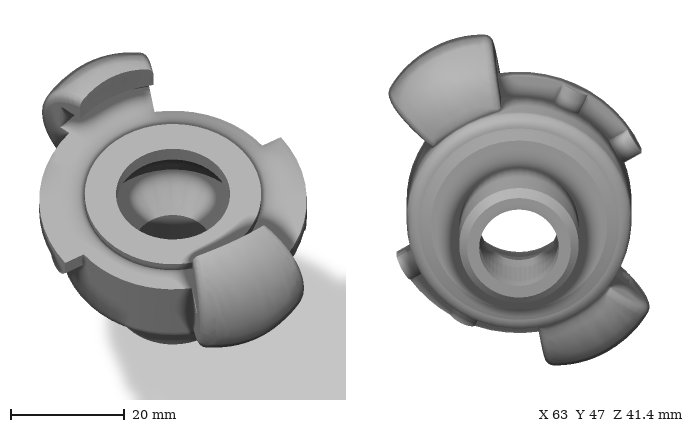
import cadquery as cq
import math

stem_diameter = 21.0
stem_chamfer_width = 1.4
stem_chamfer_height = 1.5
body_diameter = 39.5
body_bottom = 14.0
body_top = 29.55
body_edge_radius = 2.4
seam_angle = -50
pad_diameter = 31.0
pad_base_diameter = 35.0
pad_height = 0.7
seal_diameter = 31.0
seal_top = 31.25

through_diameter = 14.0
mouth_diameter = 20.0
chamber_diameter = 28.5
mouth_bottom = 28.15
chamber_bottom = 19.7
chamber_bulge = 0.5
cone_bottom = 16.05

lug_diameter = 47.0
lug_root_radius = 18.25
lug_bottom = 26.6
lug_edge_x = 2.5
bump_radius = lug_edge_x
bump_center_z = body_top - 2.15
bump_angles = (0, 35)

overall_length = 63.0
claw_half_angle = 20.7
claw_radius = 11.95
claw_barrel_radius = 18.9
claw_edge_radius = 1.5
claw_center_x = overall_length / 2 - claw_radius
slot_radius = 25.45
slot_top = 35.65
tip_inner_radius = 21.05
claw_root_radius = 17.65
claw_reach = overall_length


def disc(radius, bottom, top):
    return cq.Workplane("XY").workplane(offset=bottom).circle(radius).extrude(top - bottom)


def polar(radius, angle):
    return (radius * math.cos(math.radians(angle)), radius * math.sin(math.radians(angle)))


def half_turn_pair(shape):
    return shape.union(shape.rotate((0, 0, 0), (0, 0, 1), 180))


def make_body():
    stem_radius = stem_diameter / 2
    body_radius = body_diameter / 2
    pad_top = body_bottom + pad_height
    profile = (
        cq.Workplane("XZ")
        .lineTo(stem_radius - stem_chamfer_width, 0)
        .lineTo(stem_radius, stem_chamfer_height)
        .lineTo(stem_radius, body_bottom)
        .lineTo(pad_diameter / 2, body_bottom)
        .lineTo(pad_base_diameter / 2, pad_top)
        .radiusArc((body_radius, pad_top + body_edge_radius), -body_edge_radius)
        .lineTo(body_radius, body_top)
        .lineTo(seal_diameter / 2, body_top)
        .lineTo(seal_diameter / 2, seal_top)
        .lineTo(0, seal_top)
        .close()
    )
    return profile.revolve(360, (0, 0, 0), (0, 1, 0)).rotate((0, 0, 0), (0, 0, 1), seam_angle)


def make_bump(angle):
    """Radial rib with a rounded underside, pointing toward -Y and turned by angle toward -X."""
    return (
        cq.Workplane("XZ")
        .moveTo(-bump_radius, body_top)
        .lineTo(-bump_radius, bump_center_z)
        .threePointArc((0, bump_center_z - bump_radius), (bump_radius, bump_center_z))
        .lineTo(bump_radius, body_top)
        .close()
        .extrude(lug_diameter)
        .rotate((0, 0, 0), (0, 0, 1), -angle)
    )


def make_lug():
    """Lug on the -Y side, from its straight end at +X round to the -X claw."""
    reach = lug_diameter
    lug = (
        cq.Workplane("XY")
        .workplane(offset=lug_bottom)
        .polyline([
            (0, 0),
            (lug_edge_x, 0),
            (lug_edge_x, -reach),
            (-reach, -reach),
            polar(reach, 180 + claw_half_angle),
        ])
        .close()
        .extrude(body_top - lug_bottom)
    )
    for angle in bump_angles:
        lug = lug.union(make_bump(angle))
    ring = disc(lug_diameter / 2, 0, body_top).cut(disc(lug_root_radius, 0, body_top))
    return lug.intersect(ring)


def make_claw():
    """Claw on the +X side."""
    half_width = claw_radius
    crown_drop = claw_barrel_radius - math.sqrt(claw_barrel_radius**2 - half_width**2)
    barrel = (
        cq.Workplane("XY")
        .workplane(offset=body_top)
        .moveTo(claw_center_x, -half_width)
        .lineTo(overall_length / 2 - crown_drop, -half_width)
        .threePointArc((overall_length / 2, 0), (overall_length / 2 - crown_drop, half_width))
        .lineTo(claw_center_x, half_width)
        .close()
        .revolve(360, (claw_center_x, -0.6, 0), (claw_center_x, 0.6, 0))
    )
    wedge = (
        cq.Workplane("XY")
        .polyline([(0, 0), polar(claw_reach, -claw_half_angle), polar(claw_reach, claw_half_angle)])
        .close()
        .extrude(claw_reach)
    )
    claw = barrel.intersect(wedge)
    claw = claw.edges("%BSPLINE").fillet(claw_edge_radius)
    slot = disc(slot_radius, body_top, slot_top)
    throat = disc(tip_inner_radius, body_top, claw_reach)
    root = disc(claw_root_radius, 0, body_top)
    return claw.cut(slot).cut(throat).cut(root)


def make_bore():
    mouth_radius = mouth_diameter / 2
    hole_radius = through_diameter / 2
    chamber_radius = chamber_diameter / 2
    chamber_bulge_radius = (mouth_radius + chamber_radius) / 2 + chamber_bulge
    chamber_bulge_z = (mouth_bottom + chamber_bottom) / 2 + chamber_bulge / 2
    return (
        cq.Workplane("XZ")
        .lineTo(hole_radius, 0)
        .lineTo(hole_radius, cone_bottom)
        .lineTo(chamber_radius, chamber_bottom)
        .threePointArc((chamber_bulge_radius, chamber_bulge_z), (mouth_radius, mouth_bottom))
        .lineTo(mouth_radius, seal_top)
        .lineTo(0, seal_top)
        .close()
        .revolve(360, (0, 0, 0), (0, 1, 0))
    )


result = (
    make_body()
    .union(half_turn_pair(make_claw()))
    .union(half_turn_pair(make_lug()))
    .cut(make_bore())
)